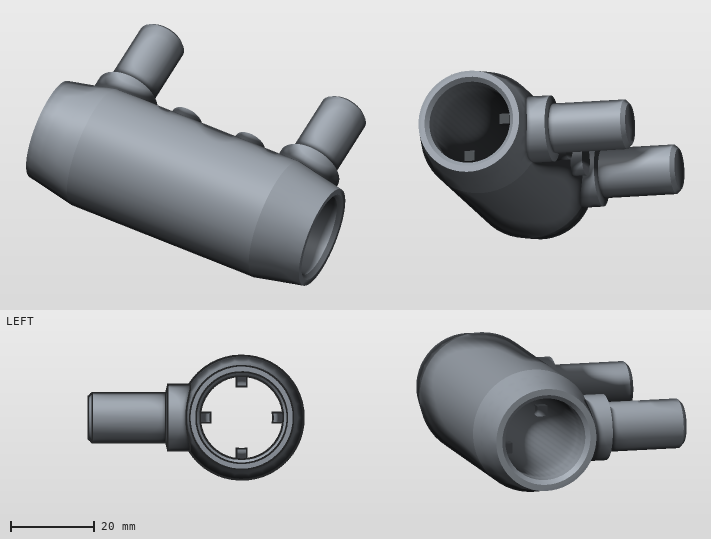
import cadquery as cq

SLEEVE_LENGTH = 73.5
SLEEVE_DIAMETER = 30.0
END_DIAMETER = 25.0
TAPER_LENGTH = 12.25
BORE_DIAMETER = 20.0
BORE_CHAMFER = 1.0

TAB_COUNT = 4
TAB_WIDTH = 2.5
TAB_LENGTH = 2.5
TAB_INNER_DIAMETER = 15.0

STUD_SPACING = SLEEVE_LENGTH - 2 * TAPER_LENGTH
COLLAR_DIAMETER = 16.0
COLLAR_TOP = 17.75
SHOULDER_HEIGHT = 0.5
PIN_DIAMETER = 12.0
PIN_TOP = 37.0
PIN_CHAMFER = 1.0

BOSS_SPACING = 17.0
BOSS_DIAMETER = 8.0

SLEEVE_RADIUS = SLEEVE_DIAMETER / 2
BORE_RADIUS = BORE_DIAMETER / 2
HALF_LENGTH = SLEEVE_LENGTH / 2


def cylinder_along_x(diameter, length):
    """Cylinder on the X axis, centred on the origin."""
    return cq.Workplane("YZ").circle(diameter / 2).extrude(length / 2, both=True)


def make_sleeve_body():
    """Solid of revolution about X with both ends tapered."""
    taper_start = HALF_LENGTH - TAPER_LENGTH
    end_radius = END_DIAMETER / 2
    profile = [
        (-HALF_LENGTH, 0),
        (-HALF_LENGTH, end_radius),
        (-taper_start, SLEEVE_RADIUS),
        (taper_start, SLEEVE_RADIUS),
        (HALF_LENGTH, end_radius),
        (HALF_LENGTH, 0),
    ]
    return cq.Workplane("XY").polyline(profile).close().revolve(360, (0, 0, 0), (1, 0, 0))


def make_bore():
    """Through bore, widened by a chamfer at each mouth."""
    chamfer_start = HALF_LENGTH - BORE_CHAMFER
    mouth_radius = BORE_RADIUS + BORE_CHAMFER
    profile = [
        (-HALF_LENGTH, 0),
        (-HALF_LENGTH, mouth_radius),
        (-chamfer_start, BORE_RADIUS),
        (chamfer_start, BORE_RADIUS),
        (HALF_LENGTH, mouth_radius),
        (HALF_LENGTH, 0),
    ]
    return cq.Workplane("XY").polyline(profile).close().revolve(360, (0, 0, 0), (1, 0, 0))


def make_stud(x):
    """Stud pointing along +Y, starting on the sleeve axis."""
    pin_radius = PIN_DIAMETER / 2
    collar_radius = COLLAR_DIAMETER / 2
    profile = [
        (0, 0),
        (collar_radius, 0),
        (collar_radius, COLLAR_TOP),
        (pin_radius, COLLAR_TOP + SHOULDER_HEIGHT),
        (pin_radius, PIN_TOP - PIN_CHAMFER),
        (pin_radius - PIN_CHAMFER, PIN_TOP),
        (0, PIN_TOP),
    ]
    stud = cq.Workplane("XY").polyline(profile).close().revolve(360, (0, 0, 0), (0, 1, 0))
    return stud.translate((x, 0, 0))


def make_boss(x):
    """Plain round boss pointing along +Y, starting on the sleeve axis."""
    boss = cq.Workplane("XZ").circle(BOSS_DIAMETER / 2).extrude(-COLLAR_TOP)
    return boss.translate((x, 0, 0))


def make_tab(angle):
    """Stop tab from the sleeve wall inwards, with a rounded inner face."""
    root_radius = (BORE_RADIUS + SLEEVE_RADIUS) / 2
    tab = cq.Workplane("XY").box(TAB_LENGTH, root_radius, TAB_WIDTH, centered=(True, False, True))
    tab = tab.cut(cylinder_along_x(TAB_INNER_DIAMETER, TAB_LENGTH))
    return tab.rotate((0, 0, 0), (1, 0, 0), angle)


result = make_sleeve_body()

for side in (-1, 1):
    result = result.union(make_stud(side * STUD_SPACING / 2))
    result = result.union(make_boss(side * BOSS_SPACING / 2))

result = result.cut(make_bore())

for index in range(TAB_COUNT):
    result = result.union(make_tab(index * 360 / TAB_COUNT))